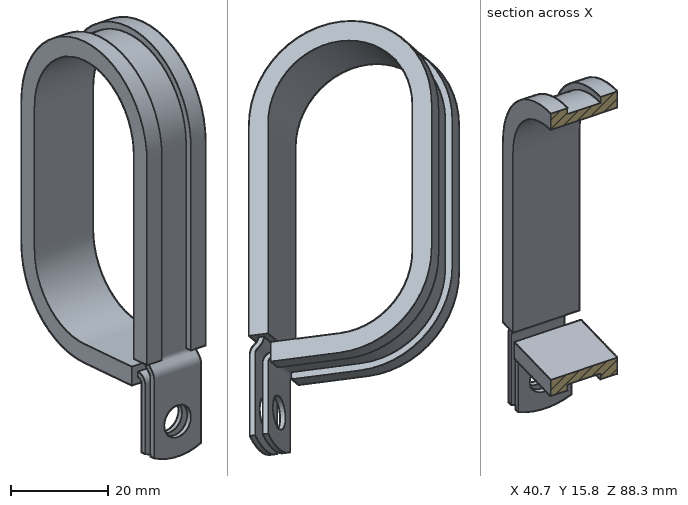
import cadquery as cq
import math

opening_width = 31.75
opening_height = 63.5
wall = 4.25
band_width = 15.75
groove_width = 7.75
groove_depth = 1.5

side_end_height = 6.2
floor_end_inset = 4.85

strap_thickness = 1.2
strap_width = 12.6
elbow_radius = 1.7
joggle_radius = 2.0
tab_drop = 16.34
outer_tab_overhang = 0.41
tab_pitch = 2.85
joggle_angle = math.radians(45)
tip_rise = 1.35
hole_diameter = 7.1
hole_height = 7.94

inner_radius = opening_width / 2
straight_length = opening_height - opening_width
half_width = inner_radius + wall
half_height = opening_height / 2 + wall
side_end_z = side_end_height - half_height
floor_end_x = half_width - floor_end_inset
strap_depth = groove_depth + strap_thickness / 2
tip_z = -half_height - tab_drop
outer_tab_x = half_width + outer_tab_overhang - strap_thickness / 2
inner_tab_x = outer_tab_x - tab_pitch


def loop_solid(inset, width):
    """Solid inside the loop outline moved inward by inset; its lower right corner is square."""
    right = half_width - inset
    bottom = inset - half_height
    arc_z = straight_length / 2
    return (
        cq.Workplane("XZ")
        .moveTo(right, bottom)
        .lineTo(right, arc_z)
        .threePointArc((0, arc_z + right), (-right, arc_z))
        .lineTo(-right, -arc_z)
        .radiusArc((0, bottom), -right)
        .close()
        .extrude(width / 2, both=True)
    )


def make_band():
    band = loop_solid(0, band_width).cut(loop_solid(wall, band_width))
    groove = loop_solid(0, groove_width).cut(loop_solid(groove_depth, groove_width))
    corner_height = side_end_z + half_height
    right_of_floor = (
        cq.Workplane("XY")
        .box(floor_end_inset, band_width, corner_height, centered=(False, True, False))
        .translate((floor_end_x, 0, -half_height))
    )
    return band.cut(groove).cut(right_of_floor)


def sweep_strap(path, start_plane):
    return start_plane.rect(strap_thickness, strap_width).sweep(path)


def make_inner_tab():
    """Tab that leaves the floor of the loop horizontally and turns down."""
    start_z = strap_depth - half_height
    path = (
        cq.Workplane("XZ")
        .moveTo(floor_end_x, start_z)
        .lineTo(inner_tab_x - elbow_radius, start_z)
        .radiusArc((inner_tab_x, start_z - elbow_radius), elbow_radius)
        .lineTo(inner_tab_x, tip_z)
    )
    start = cq.Workplane(cq.Plane((floor_end_x, 0, start_z), xDir=(0, 0, 1), normal=(1, 0, 0)))
    return sweep_strap(path, start)


def make_outer_tab():
    """Tab that leaves the right leg downward and joggles outward through two equal bends."""
    start_x = half_width - strap_depth
    bend_x = joggle_radius * (1 - math.cos(joggle_angle))
    bend_z = joggle_radius * math.sin(joggle_angle)
    slope_x = outer_tab_x - start_x - 2 * bend_x
    slope_z = slope_x / math.tan(joggle_angle)
    slope_top = (start_x + bend_x, side_end_z - bend_z)
    slope_bottom = (outer_tab_x - bend_x, slope_top[1] - slope_z)
    path = (
        cq.Workplane("XZ")
        .moveTo(start_x, side_end_z)
        .radiusArc(slope_top, -joggle_radius)
        .lineTo(*slope_bottom)
        .radiusArc((outer_tab_x, slope_bottom[1] - bend_z), joggle_radius)
        .lineTo(outer_tab_x, tip_z)
    )
    start = cq.Workplane(cq.Plane((start_x, 0, side_end_z), xDir=(1, 0, 0), normal=(0, 0, -1)))
    return sweep_strap(path, start)


def shape_tips(tabs):
    """Round the tips of both tabs and drill the screw hole through them."""
    edge = strap_width / 2
    below_tip = (
        cq.Workplane("YZ")
        .moveTo(-edge, tip_z + tip_rise)
        .threePointArc((0, tip_z), (edge, tip_z + tip_rise))
        .lineTo(edge, tip_z - tip_rise)
        .lineTo(-edge, tip_z - tip_rise)
        .close()
        .extrude(2 * half_width)
    )
    screw_hole = (
        cq.Workplane("YZ")
        .center(0, tip_z + hole_height)
        .circle(hole_diameter / 2)
        .extrude(2 * half_width)
    )
    return tabs.cut(below_tip).cut(screw_hole)


tabs = make_inner_tab().union(make_outer_tab())
result = make_band().union(shape_tips(tabs))